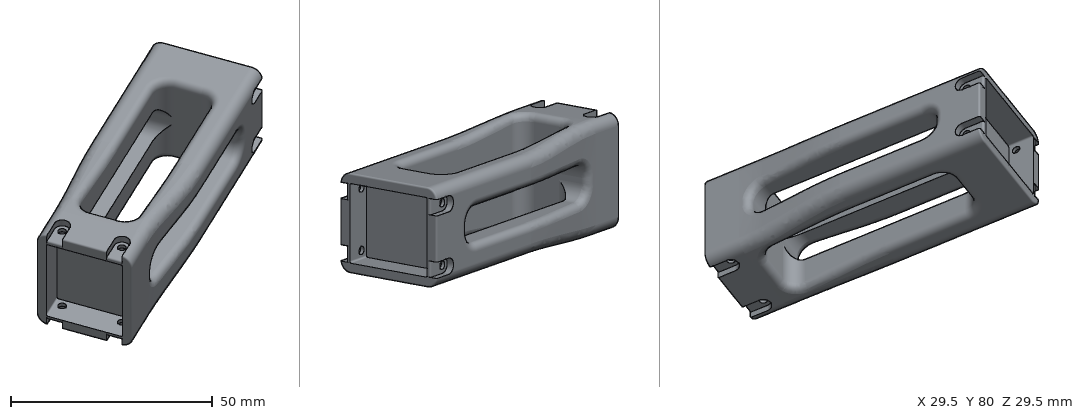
import cadquery as cq

length = 80.0
wide = 29.5
narrow = 25.5
corner_radius = 3.0
end_rounding = 0.5

taper_start = 10.0
taper_end = length / 2

window_length = 53.9
top_window_width = 15.5
side_window_width = 9.5
window_corner_radius = 4.0
window_edge_fillet = 2.0

pocket_narrow = 20.4
pocket_wide = 23.6
pocket_depth = 7.0
pocket_corner_radius = 0.5
hole_diameter = 2.1
hole_spacing = 16.0
hole_setback = 5.0
recess_radius = 2.1
recess_depth = 1.9

pick_margin = 0.2


def swap_ends(shape):
    """Half turn about a diagonal axis: exchanges the two ends, and X with Z."""
    middle = length / 2
    return shape.rotate((0, middle, 0), (0.8, middle, 0.8), 180)


def edges_near_top_and_bottom(low, high):
    """Selector for edges centred in the box from low to high, or in its mirror image below Z = 0."""
    mirrored_low = (low[0], low[1], -high[2])
    mirrored_high = (high[0], high[1], -low[2])
    return cq.selectors.BoxSelector(low, high) + cq.selectors.BoxSelector(mirrored_low, mirrored_high)


def tapered_slab(plane, front_width, back_width):
    """Slab whose width blends smoothly from front_width to back_width along Y."""
    front = front_width / 2
    back = back_width / 2
    backward = (0, 1)
    forward = (0, -1)
    outline = (
        cq.Workplane(plane)
        .moveTo(-front, 0)
        .lineTo(front, 0)
        .lineTo(front, taper_start)
        .spline([(back, taper_end)], tangents=[backward, backward], includeCurrent=True)
        .lineTo(back, length)
        .lineTo(-back, length)
        .lineTo(-back, taper_end)
        .spline([(-front, taper_start)], tangents=[forward, forward], includeCurrent=True)
        .close()
    )
    return outline.extrude(wide, both=True)


def make_body():
    """Solid bar, narrow in X at the front and narrow in Z at the back, with rounded long edges."""
    xy_plane = cq.Plane(origin=(0, 0, 0), xDir=(1, 0, 0), normal=(0, 0, 1))
    zy_plane = cq.Plane(origin=(0, 0, 0), xDir=(0, 0, 1), normal=(-1, 0, 0))
    body = tapered_slab(xy_plane, narrow, wide).intersect(tapered_slab(zy_plane, wide, narrow))
    body = body.edges("not(#Y)").fillet(corner_radius)
    return body.faces("<Y or >Y").edges().fillet(end_rounding)


def cut_window(body, width):
    """Rounded window through the body along Z, with both rims filleted."""
    window = (
        cq.Workplane("XY")
        .center(0, length / 2)
        .rect(width, window_length)
        .extrude(wide, both=True)
        .edges("|Z")
        .fillet(window_corner_radius)
    )
    half_width = width / 2 + pick_margin
    half_length = window_length / 2 + pick_margin
    rims = edges_near_top_and_bottom(
        (-half_width, length / 2 - half_length, narrow / 2 - pick_margin),
        (half_width, length / 2 + half_length, wide / 2 + pick_margin),
    )
    return body.cut(window).edges(rims).fillet(window_edge_fillet)


def make_recess(x, floor):
    """Round-ended recess around one screw hole, open to the front end."""
    return (
        cq.Workplane("XY", origin=(0, 0, floor))
        .moveTo(x - recess_radius, 0)
        .lineTo(x + recess_radius, 0)
        .lineTo(x + recess_radius, hole_setback)
        .threePointArc((x, hole_setback + recess_radius), (x - recess_radius, hole_setback))
        .close()
        .extrude(recess_depth)
    )


def cut_front_end(body):
    """Pocket, cross holes and recesses in the front end."""
    pocket = (
        cq.Workplane("XZ")
        .rect(pocket_narrow, pocket_wide)
        .extrude(-pocket_depth)
        .edges("|Y")
        .fillet(pocket_corner_radius)
    )
    body = body.cut(pocket)
    recess_floor = wide / 2 - recess_depth
    for x in (-hole_spacing / 2, hole_spacing / 2):
        hole = (
            cq.Workplane("XY")
            .center(x, hole_setback)
            .circle(hole_diameter / 2)
            .extrude(wide, both=True)
        )
        recess = make_recess(x, recess_floor)
        body = body.cut(hole).cut(recess).cut(recess.mirror("XY"))
    floor_edges = edges_near_top_and_bottom(
        (-narrow / 2, -pick_margin, recess_floor - pick_margin),
        (narrow / 2, pick_margin, recess_floor + pick_margin),
    )
    return body.edges(floor_edges).fillet(end_rounding)


result = make_body()
result = cut_window(result, top_window_width)
result = swap_ends(cut_window(swap_ends(result), side_window_width))
result = cut_front_end(result)
result = swap_ends(cut_front_end(swap_ends(result)))